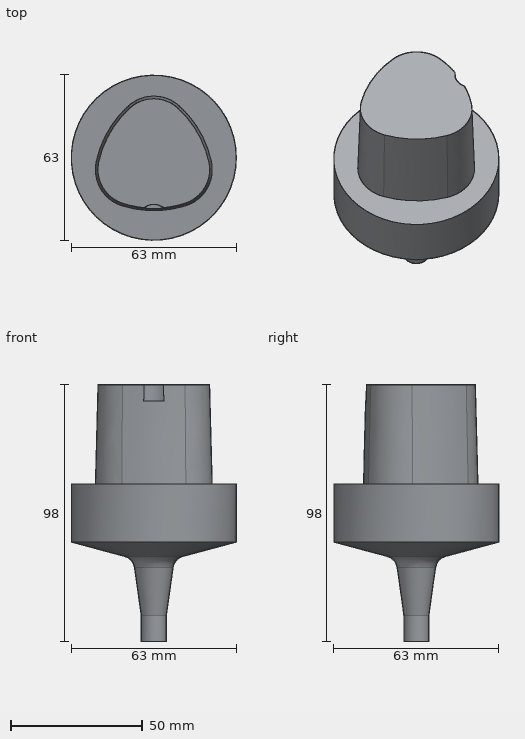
import cadquery as cq
import math

total_height = 98.0
tip_length = 10.0
collar_bottom = 38.0
collar_height = 22.2
collar_top = collar_bottom + collar_height
head_height = total_height - collar_top

collar_radius = 63.0 / 2
underside_angle = 15.0
tip_radius = 9.6 / 2
stem_draft = 8.0
neck_fillet = 5.0

lobe_count = 3
lobe_offset = 9.0
lobe_radius = 14.5
side_radius = 40.0
head_draft = 1.5

notch_radius = 6.0
notch_back_y = -17.8
notch_depth = 6.2


def polar(radius, angle):
    """Point at the given radius and angle (degrees) about the pump axis."""
    return (radius * math.cos(math.radians(angle)), radius * math.sin(math.radians(angle)))


def make_collar_and_stem():
    """Revolved collar with a conical underside running into a tapered stem."""
    underside_slope = math.tan(math.radians(underside_angle))
    stem_slope = math.tan(math.radians(stem_draft))

    height_on_axis = collar_bottom - collar_radius * underside_slope
    neck_rise = height_on_axis + tip_radius * underside_slope - tip_length
    neck_z = tip_length + neck_rise / (1 - underside_slope * stem_slope)
    neck_radius = tip_radius + (neck_z - tip_length) * stem_slope

    profile = [
        (0, 0),
        (tip_radius, 0),
        (tip_radius, tip_length),
        (neck_radius, neck_z),
        (collar_radius, collar_bottom),
        (collar_radius, collar_top),
        (0, collar_top),
    ]
    body = cq.Workplane("XZ").polyline(profile).close().revolve(360, (0, 0, 0), (0, 1, 0))
    search_margin = 1.0
    neck_edge = cq.selectors.BoxSelector(
        (-collar_radius, -collar_radius, neck_z - search_margin),
        (collar_radius, collar_radius, neck_z + search_margin),
    )
    return body.edges(neck_edge).fillet(neck_fillet)


def make_head():
    """Drafted head whose outline is three lobes joined by tangent side arcs."""
    centre_gap = side_radius - lobe_radius
    side_offset = (-lobe_offset + math.sqrt(4 * centre_gap**2 - 3 * lobe_offset**2)) / 2
    side_reach = side_radius - side_offset

    half_pitch = 180 / lobe_count
    lobe_x, lobe_y = polar(lobe_offset, half_pitch)
    tangent_x = (lobe_x + side_offset) * side_radius / centre_gap - side_offset
    tangent_y = lobe_y * side_radius / centre_gap
    tangent_distance = math.hypot(tangent_x, tangent_y)
    tangent_angle = half_pitch - math.degrees(math.atan2(tangent_y, tangent_x))

    first_lobe = 90
    outline = cq.Workplane("XY", origin=(0, 0, collar_top))
    outline = outline.moveTo(*polar(tangent_distance, first_lobe - tangent_angle))
    for index in range(lobe_count):
        lobe = first_lobe + index * 2 * half_pitch
        next_lobe = lobe + 2 * half_pitch
        outline = outline.threePointArc(
            polar(lobe_offset + lobe_radius, lobe),
            polar(tangent_distance, lobe + tangent_angle),
        )
        outline = outline.threePointArc(
            polar(side_reach, lobe + half_pitch),
            polar(tangent_distance, next_lobe - tangent_angle),
        )
    return outline.close().extrude(head_height, taper=head_draft)


def make_notch():
    """Upright cylinder that scoops the notch out of the head's top front edge."""
    notch_floor = total_height - notch_depth
    return (
        cq.Workplane("XY", origin=(0, notch_back_y - notch_radius, notch_floor))
        .circle(notch_radius)
        .extrude(notch_depth)
    )


result = make_collar_and_stem().union(make_head().cut(make_notch()))